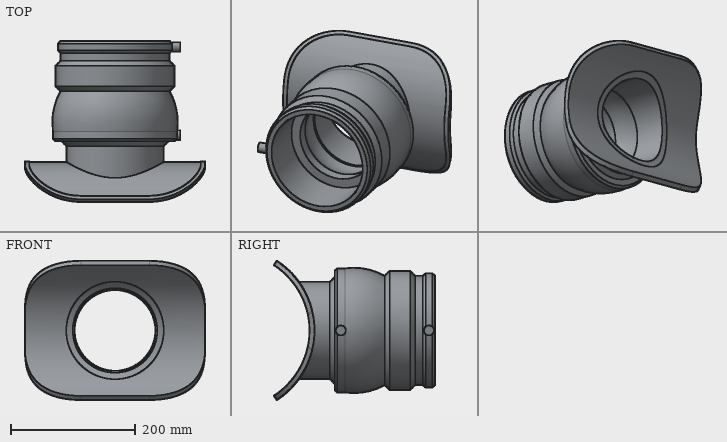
import cadquery as cq
import math


saddle_length = 290.0
saddle_inner_radius = 125.0
saddle_rim_radius = 133.5
saddle_half_height = 112.155
saddle_half_angle = math.asin(saddle_half_height / saddle_rim_radius)
corner_radius = 90.0
rim_width = 7.0
rim_height = 1.0

overall_depth = 259.39
socket_end_y = overall_depth + saddle_inner_radius * math.cos(saddle_half_angle)
pipe_radius = 156.8 / 2
bore_radius = 136.0 / 2

neck_radius = 176.0 / 2
collar_radius = 184.0 / 2
collar_depth = 20.0
collar_chamfer = 4.8

band_radius = 192.0 / 2
band_start_depth = 32.4
band_end_depth = 81.1
band_chamfer = band_radius - neck_radius

ball_radius = 101.1
ball_center_depth = band_end_depth + math.sqrt(ball_radius**2 - neck_radius**2)

clamp_radius = 100.0
clamp_start_depth = ball_center_depth + math.sqrt(ball_radius**2 - clamp_radius**2)
clamp_end_depth = 161.6
clamp_chamfer = 4.0
cone_length = 7.6

socket_radius = 160.0 / 2
socket_depth = 80.0
cavity_radius = 144.0 / 2
throat_radius = 129.6 / 2
cavity_start_depth = ball_center_depth - math.sqrt(cavity_radius**2 - throat_radius**2)
cavity_end_depth = clamp_start_depth
cavity_end_radius = math.sqrt(cavity_radius**2 - (cavity_end_depth - ball_center_depth) ** 2)

stud_radius = 8.0
stud_tip_x = 105.3
stud_root_x = (socket_radius + neck_radius) / 2


def curved_plate(inner_radius, outer_radius, half_angle, length, corner):
    """Sector of a tube around the X axis, facing +Y, with corners rounded square to its end planes."""
    plate = (
        cq.Workplane("ZY")
        .circle(outer_radius)
        .circle(inner_radius)
        .extrude(length / 2, both=True)
    )
    reach = 2 * outer_radius
    for side in (1, -1):
        end_plane = cq.Plane(
            origin=(0, 0, 0),
            xDir=(side, 0, 0),
            normal=(0, math.cos(half_angle), side * math.sin(half_angle)),
        )
        kept = (
            cq.Workplane(end_plane)
            .moveTo(-length / 2, reach)
            .lineTo(-length / 2, corner)
            .tangentArcPoint((corner, -corner))
            .lineTo(length / 2 - corner, 0)
            .tangentArcPoint((corner, corner))
            .lineTo(length / 2, reach)
            .close()
            .extrude(reach, both=True)
        )
        plate = plate.intersect(kept)
    return plate


def make_saddle():
    """Curved plate with a raised rim and a hole that the joint's pipe fills."""
    plate = curved_plate(
        saddle_inner_radius,
        saddle_rim_radius,
        saddle_half_angle,
        saddle_length,
        corner_radius,
    )
    recess = curved_plate(
        saddle_rim_radius - rim_height,
        saddle_rim_radius + rim_height,
        saddle_half_angle - math.asin(rim_width / saddle_rim_radius),
        saddle_length - 2 * rim_width,
        corner_radius - rim_width,
    )
    pipe_hole = cq.Workplane("ZX").circle(pipe_radius).extrude(socket_end_y)
    return plate.cut(recess).cut(pipe_hole)


def joint_section():
    """Half section of the joint: radius along X, pipe axis along Y, pipe end on the sewer axis."""
    def at(radius, depth):
        return (radius, socket_end_y - depth)

    pipe_end_depth = socket_end_y
    return (
        cq.Workplane("XY")
        .moveTo(*at(socket_radius, 0))
        .lineTo(*at(neck_radius, 0))
        .lineTo(*at(collar_radius, collar_chamfer))
        .lineTo(*at(collar_radius, collar_depth - collar_chamfer))
        .lineTo(*at(neck_radius, collar_depth))
        .lineTo(*at(neck_radius, band_start_depth))
        .lineTo(*at(band_radius, band_start_depth + band_chamfer))
        .lineTo(*at(band_radius, band_end_depth - band_chamfer))
        .lineTo(*at(neck_radius, band_end_depth))
        .threePointArc(at(ball_radius, ball_center_depth), at(clamp_radius, clamp_start_depth))
        .lineTo(*at(clamp_radius, clamp_end_depth - clamp_chamfer))
        .lineTo(*at(clamp_radius - clamp_chamfer, clamp_end_depth))
        .lineTo(*at(pipe_radius + cone_length, clamp_end_depth))
        .lineTo(*at(pipe_radius, clamp_end_depth + cone_length))
        .lineTo(*at(pipe_radius, pipe_end_depth))
        .lineTo(*at(bore_radius, pipe_end_depth))
        .lineTo(*at(bore_radius, cavity_end_depth))
        .lineTo(*at(cavity_end_radius, cavity_end_depth))
        .threePointArc(at(cavity_radius, ball_center_depth), at(throat_radius, cavity_start_depth))
        .lineTo(*at(throat_radius, socket_depth))
        .lineTo(*at(socket_radius, socket_depth))
        .close()
    )


def make_joint():
    """Turned joint whose pipe ends flush with the saddle's inner face, with two studs on the +X side."""
    sewer = cq.Workplane("ZY").circle(saddle_inner_radius).extrude(saddle_length, both=True)
    joint = joint_section().revolve(360, (0, 0, 0), (0, 1, 0)).cut(sewer)

    stud_depths = (collar_depth / 2, (clamp_start_depth + clamp_end_depth - clamp_chamfer) / 2)
    for depth in stud_depths:
        stud = (
            cq.Workplane("YZ", origin=(stud_root_x, socket_end_y - depth, 0))
            .circle(stud_radius)
            .extrude(stud_tip_x - stud_root_x)
        )
        joint = joint.union(stud)
    return joint


saddle = make_saddle()
joint = make_joint()

result = cq.Compound.makeCompound([saddle.solids().val(), joint.solids().val()])